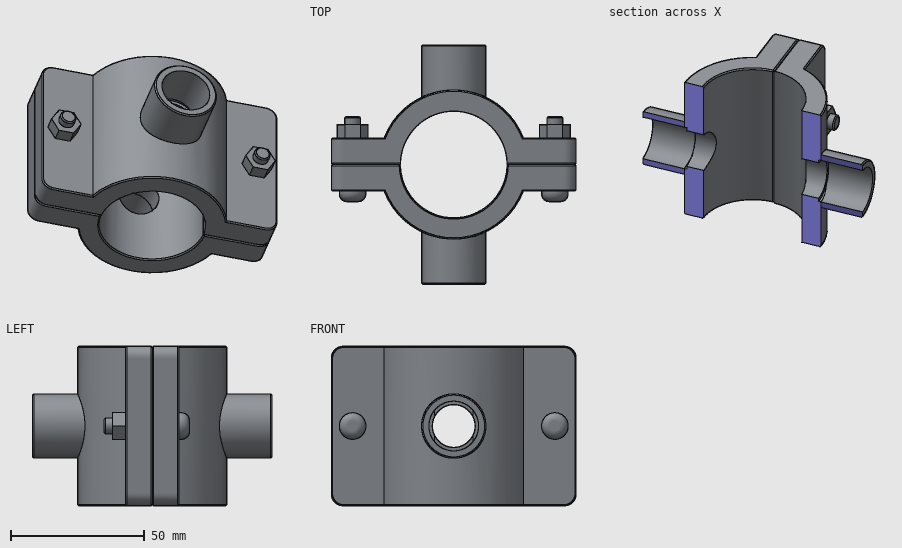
import cadquery as cq
import math

width = 92.0
height = 60.0
bore_diameter = 40.0
ring_diameter = 56.0
flange_thickness = 10.0
corner_radius = 4.5
edge_chamfer = 0.5

pipe_diameter = 24.2
pipe_reach = 45.0
passage_diameter = 16.0
socket_diameter = 18.7
socket_floor = 27.05

bolt_spacing = 76.0
shank_diameter = 6.0
head_diameter = 10.0
head_height = 4.0
head_round = 2.9
nut_flats = 10.0
nut_height = 5.0
bolt_tail = 3.0
nut_end = flange_thickness + nut_height
nut_corners = nut_flats / math.cos(math.radians(30))

front, rear = -1, 1
end_face = {front: "<Y", rear: ">Y"}


def cylinder_along_y(diameter, start, end):
    """A cylinder on the Y axis between two Y positions."""
    direction = cq.Vector(0, end - start, 0)
    solid = cq.Solid.makeCylinder(diameter / 2, direction.Length, cq.Vector(0, start, 0), direction)
    return cq.Workplane(solid)


def cylinder_along_z(diameter):
    """A cylinder on the clamp axis, as tall as the clamp."""
    return cq.Workplane("XY").circle(diameter / 2).extrude(height / 2, both=True)


def half_blank(side):
    """One half of the ring with its flanges, with rounded flange corners and no bore."""
    flanges = (
        cq.Workplane("XY")
        .box(width, flange_thickness, height)
        .edges("|Y")
        .fillet(corner_radius)
        .translate((0, side * flange_thickness / 2, 0))
    )
    half_space = cq.Workplane("XY").box(width, width, height).translate((0, side * width / 2, 0))
    return flanges.union(cylinder_along_z(ring_diameter).intersect(half_space))


def chamfer_edges(half):
    """Chamfer every edge but the tangent lines of the corners and the joints of ring and flange."""
    joint_x = math.sqrt((ring_diameter / 2) ** 2 - flange_thickness**2)

    def is_joint(edge):
        center = edge.Center()
        return abs(center.z) < edge_chamfer and abs(abs(center.x) - joint_x) < edge_chamfer

    outline = half.edges("not |Y").filter(lambda edge: not is_joint(edge))
    return outline.chamfer(edge_chamfer)


def cut_pipe_bore(body, side):
    """Cut the passage of one pipe, and the wider socket at its outer end."""
    passage = cylinder_along_y(passage_diameter, 0, side * pipe_reach)
    socket = cylinder_along_y(socket_diameter, side * socket_floor, side * pipe_reach)
    return body.cut(passage).cut(socket)


def bolt_shape():
    """A bolt through both flanges, with its head and nut, on the Y axis."""
    head = cylinder_along_y(head_diameter, -flange_thickness, -flange_thickness - head_height)
    head = head.faces("<Y").edges().fillet(head_round)
    shank = cylinder_along_y(shank_diameter, -flange_thickness, nut_end + bolt_tail)
    shank = shank.faces(">Y").chamfer(edge_chamfer)
    nut = cq.Workplane("XZ", origin=(0, nut_end, 0)).polygon(6, nut_corners).extrude(nut_height)
    return head.union(shank).union(nut)


def make_clamp():
    """The bolted clamp: both halves and the bolts that hold them, as one solid."""
    bore = cylinder_along_z(bore_diameter)
    front_half = chamfer_edges(half_blank(front).cut(bore))
    rear_half = chamfer_edges(half_blank(rear)).cut(bore)
    clamp = cut_pipe_bore(front_half, front).union(cut_pipe_bore(rear_half, rear))
    for x in (-bolt_spacing / 2, bolt_spacing / 2):
        clamp = clamp.union(bolt_shape().translate((x, 0, 0)))
    return clamp


def make_pipe(side):
    """A branch pipe with a chamfered end, its root shaped to sit on the outside of the ring."""
    pipe = cylinder_along_y(pipe_diameter, 0, side * pipe_reach)
    pipe = pipe.faces(end_face[side]).chamfer(edge_chamfer)
    return cut_pipe_bore(pipe.cut(cylinder_along_z(ring_diameter)), side)


clamp = make_clamp().solids()
pipes = [make_pipe(side).solids() for side in (front, rear)]

result = cq.Compound.makeCompound([clamp.val(), *[pipe.val() for pipe in pipes]])